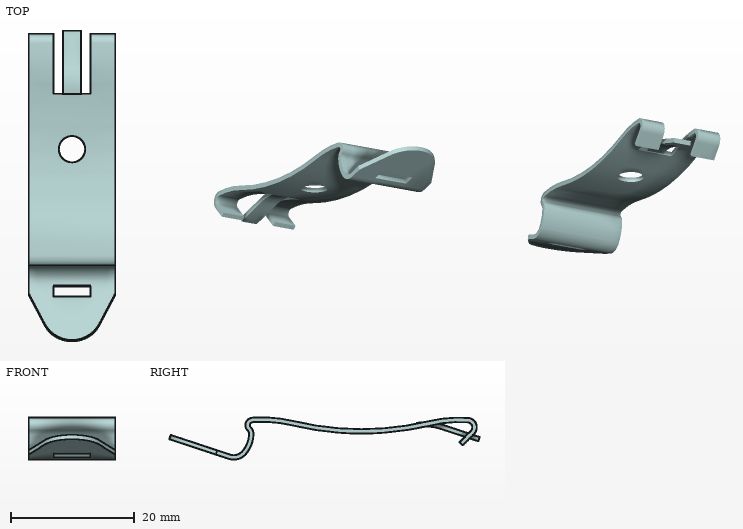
import cadquery as cq
import math

sheet = 0.75
width = 14.0
half_length = 25.1

hook_tip = (22.05, 2.6)
hook_heading = 45
slope = 13.5
body_heading = 180 + slope
foot_slope = 18.3
foot_heading = 180 - foot_slope

strip_path = [
    ("straight", 2.6),
    ("bend", 1.15, 176),
    ("bend", 20.6, body_heading),
    ("bend", 47.0, 180 - slope),
    ("bend", 22.3, 183),
    ("bend", 1.6, 205),
    ("bend", 0.8, 315),
    ("bend", 1.25, 267),
    ("bend", 4.9, 230),
    ("bend", 2.2, foot_heading),
]

slot_width = 5.95
slot_end_y = 14.9
tongue_width = 2.95
tongue_root_slope = 10.5
tongue_root = (slot_end_y, 5.6)
tongue_bend_radius = 8.05
tongue_straight = 6.35

hole_diameter = 4.2
hole_y = 5.9

foot_length = 10.15
foot_taper_start = 2.2
foot_tip_radius = 4.9
foot_taper_angle = math.radians(25.5)
foot_slot_start = 0.8
foot_slot_length = 1.9


def shifted(point, heading, distance):
    """Move a point along a heading."""
    angle = math.radians(heading)
    return (point[0] + distance * math.cos(angle), point[1] + distance * math.sin(angle))


def bent_sheet(start, heading, path, strip_width):
    """Return the sheet swept along a path, and the point where its middle line ends."""
    half = sheet / 2

    def sides(point, direction):
        return shifted(point, direction + 90, half), shifted(point, direction - 90, half)

    point = start
    left, right = sides(point, heading)
    outline = cq.Workplane("YZ").moveTo(*left)
    return_edges = []
    for kind, size, *bend_end in path:
        right_start = right
        if kind == "straight":
            point = shifted(point, heading, size)
            left, right = sides(point, heading)
            outline = outline.lineTo(*left)
            return_edges.append((None, right_start))
        else:
            end_heading = bend_end[0]
            toward_center = 90 if end_heading > heading else -90
            center = shifted(point, heading + toward_center, size)
            middle_heading = (heading + end_heading) / 2
            middle = shifted(center, middle_heading - toward_center, size)
            point = shifted(center, end_heading - toward_center, size)
            left_middle, right_middle = sides(middle, middle_heading)
            left, right = sides(point, end_heading)
            outline = outline.threePointArc(left_middle, left)
            return_edges.append((right_middle, right_start))
            heading = end_heading

    outline = outline.lineTo(*right)
    for middle, end in reversed(return_edges):
        if middle is None:
            outline = outline.lineTo(*end)
        else:
            outline = outline.threePointArc(middle, end)
    return outline.close().extrude(strip_width / 2, both=True), point


def make_hook_gap():
    """Opening that separates the two hooks, running out of the +Y end."""
    opening_length = half_length - slot_end_y
    return cq.Workplane("XY").box(
        slot_width, opening_length, half_length, centered=(True, False, True)
    ).translate((0, slot_end_y, 0))


def make_tongue():
    """Spring tongue bending down from the closed end of the slot."""
    tongue_path = [
        ("bend", tongue_bend_radius, -foot_slope),
        ("straight", tongue_straight),
    ]
    tongue, _ = bent_sheet(tongue_root, tongue_root_slope, tongue_path, tongue_width)
    return tongue


def make_foot(start):
    """Tapered, round-ended foot plate with its cross slot."""
    foot_plane = cq.Plane(
        origin=(0, start[0], start[1]),
        xDir=(1, 0, 0),
        normal=(0, math.sin(math.radians(foot_slope)), math.cos(math.radians(foot_slope))),
    )
    tip_center = foot_length - foot_tip_radius
    round_x = foot_tip_radius * math.cos(foot_taper_angle)
    round_start = tip_center + foot_tip_radius * math.sin(foot_taper_angle)
    plate = (
        cq.Workplane(foot_plane)
        .moveTo(width / 2, 0)
        .lineTo(width / 2, -foot_taper_start)
        .lineTo(round_x, -round_start)
        .threePointArc((0, -foot_length), (-round_x, -round_start))
        .lineTo(-width / 2, -foot_taper_start)
        .lineTo(-width / 2, 0)
        .close()
        .extrude(sheet / 2, both=True)
    )
    cross_slot = (
        cq.Workplane(foot_plane)
        .center(0, -foot_slot_start - foot_slot_length / 2)
        .rect(slot_width, foot_slot_length)
        .extrude(sheet, both=True)
    )
    return plate.cut(cross_slot)


strip, foot_start = bent_sheet(hook_tip, hook_heading, strip_path, width)
hole = cq.Workplane("XY").center(0, hole_y).circle(hole_diameter / 2).extrude(half_length)

result = strip.cut(make_hook_gap()).cut(hole).union(make_tongue()).union(make_foot(foot_start))